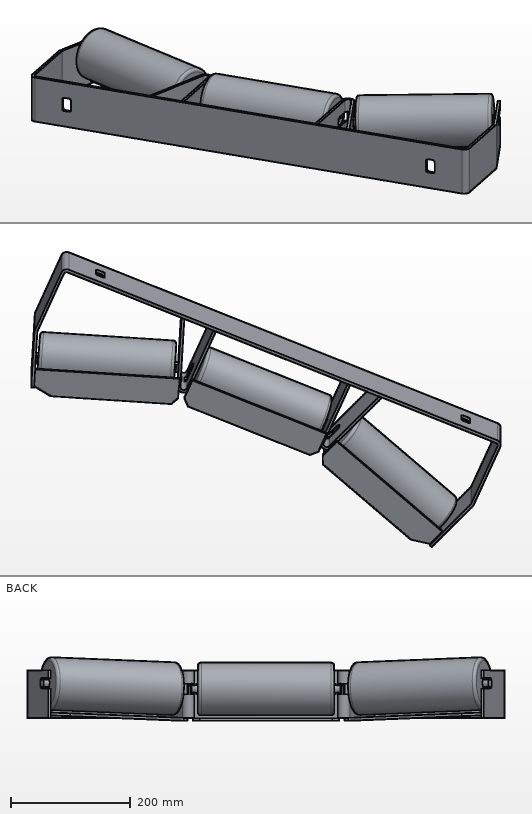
import cadquery as cq
import math


frame_length = 800.0
strip_height = 80.0
sheet = 5.0
back_thickness = 6.0
bend_radius = 10.0
fold_radius = 10.0
arm_tip_y = 220.0
bolt_slot_x = 333.0
bolt_slot_width = 16.0
bolt_slot_height = 24.0
bolt_slot_corner = 4.0

wing_angle = 20.0
wing_tilt = 2.2
side_x = 258.0
side_y = 148.0
side_z = 54.0
middle_y = 100.0
middle_z = 49.0
support_face = 120.0
support_back = support_face + sheet

roller_diameter = 89.0
roller_radius = roller_diameter / 2
roller_half = 114.0
rim_fillet = 6.0
shaft_radius = 9.0
shaft_flat_height = 12.0
flats_start = 117.0

plate_width = 46.0
plate_half = support_face + sheet / 2
plate_chamfer = 11.0
outer_cut_length = 29.0
outer_cut_width = 16.0

sin_wing = math.sin(math.radians(wing_angle))
cos_wing = math.cos(math.radians(wing_angle))
tan_wing = sin_wing / cos_wing

stations = (-1, 0, 1)


def place(body, side, pivot_z=0):
    """Move a body from station axes (X along the shaft) to its station, tilting it about a local height."""
    body = body.rotate((0, 0, pivot_z), (0, 1, pivot_z), -side * wing_tilt)
    body = body.rotate((0, 0, 0), (0, 0, 1), side * wing_angle)
    if side == 0:
        return body.translate((0, middle_y, middle_z))
    return body.translate((side * side_x, side_y, side_z))


def sloping_x(offset, y):
    """X, on the right side, of the sloping sheet face at an axial offset from the side station."""
    return side_x + offset / cos_wing - (y - side_y) * tan_wing


def round_bar(radius, half_length):
    """Plain bar along X, centred on the station."""
    return cq.Workplane("YZ").circle(radius).extrude(2 * half_length).translate((-half_length, 0, 0))


def make_roller():
    """Roller shell with its shaft; the shaft ends are flatted where they enter the supports."""
    shell = round_bar(roller_radius, roller_half).edges("%CIRCLE").fillet(rim_fillet)
    journal = round_bar(shaft_radius, flats_start)
    flats = cq.Workplane("XY").box(2 * support_back, 2 * shaft_radius, shaft_flat_height)
    flatted_shaft = round_bar(shaft_radius, support_back).intersect(flats)
    return shell.union(journal).union(flatted_shaft)


def make_plate(side):
    """Plate under a roller, with its +Y corners cut off; a side plate stops against the frame arm."""
    if side == 0:
        outer_end, cut_length, cut_width = plate_half, plate_chamfer, plate_chamfer
    else:
        outer_end, cut_length, cut_width = support_face, outer_cut_length, outer_cut_width
    outline = [(-plate_half, 0), (-plate_half, plate_width - plate_chamfer),
               (plate_chamfer - plate_half, plate_width), (outer_end - cut_length, plate_width),
               (outer_end, plate_width - cut_width), (outer_end, 0)]
    plate = cq.Workplane("XY").polyline(outline).close().extrude(-sheet)
    if side < 0:
        plate = plate.mirror("YZ")
    return plate.translate((0, 0, -middle_z))


def make_shaft_slots():
    """Cutters for both supports of a station: round at the shaft, open towards +Y."""
    opening = 2 * roller_radius
    cutter = (
        cq.Workplane("YZ")
        .moveTo(opening, -shaft_radius)
        .lineTo(0, -shaft_radius)
        .threePointArc((-shaft_radius, 0), (0, shaft_radius))
        .lineTo(opening, shaft_radius)
        .close()
        .extrude(2 * sheet)
    )
    start = support_face - sheet / 2
    right_cutter = cutter.translate((start, 0, 0))
    return right_cutter.union(right_cutter.mirror("YZ"))


def make_frame():
    """Back strip with an arm bent towards +Y at each end, before the shaft slots are cut."""
    half = frame_length / 2
    bend_y = side_y + (support_back / cos_wing + side_x - half) / tan_wing
    tip_x = sloping_x(support_back, arm_tip_y)
    inner_tip = (tip_x - sheet * cos_wing, arm_tip_y - sheet * sin_wing)
    inner_half = half - sheet
    inner_bend_y = bend_y - sheet * math.tan(math.radians(wing_angle / 2))
    right_side = [(half, 0), (half, bend_y), (tip_x, arm_tip_y), inner_tip,
                  (inner_half, inner_bend_y), (inner_half, back_thickness)]
    left_side = [(-x, y) for x, y in reversed(right_side)]
    frame = cq.Workplane("XY").polyline(right_side + left_side).close().extrude(strip_height)

    outer_corners = [(half, 0), (half, bend_y)]
    inner_corners = [(inner_half, back_thickness), (inner_half, inner_bend_y)]
    for corners, radius in ((outer_corners, bend_radius), (inner_corners, bend_radius - sheet)):
        for x, y in corners:
            for side in (-1, 1):
                corner = cq.selectors.NearestToPointSelector((side * x, y, strip_height / 2))
                frame = frame.edges("|Z").edges(corner).fillet(radius)

    bolt_slots = (
        cq.Workplane("XZ")
        .pushPoints([(-bolt_slot_x, strip_height / 2), (bolt_slot_x, strip_height / 2)])
        .rect(bolt_slot_width, bolt_slot_height)
        .extrude(-back_thickness)
        .edges("|Y")
        .fillet(bolt_slot_corner)
    )
    return frame.cut(bolt_slots)


def make_bracket(side):
    """Strip folded over between the middle roller and one side roller, standing on the back strip."""
    centre_x = support_face + fold_radius
    centre_y = side_y + (side_x - (support_face + fold_radius) / cos_wing - centre_x) / tan_wing

    def folded(radius):
        inset = fold_radius - radius
        foot_x = sloping_x(-support_face - inset, back_thickness)
        tangent = (centre_x + radius * cos_wing, centre_y + radius * sin_wing)
        return (
            cq.Workplane("XY")
            .moveTo(centre_x - radius, back_thickness)
            .lineTo(centre_x - radius, centre_y)
            .threePointArc((centre_x, centre_y + radius), tangent)
            .lineTo(foot_x, back_thickness)
            .close()
            .extrude(strip_height)
        )

    bracket = folded(fold_radius).cut(folded(fold_radius - sheet))
    return bracket if side > 0 else bracket.mirror("YZ")


rollers = [place(make_roller(), side) for side in stations]
plates = [place(make_plate(side), side, -middle_z) for side in stations]
shaft_slots = [place(make_shaft_slots(), side) for side in stations]

frame = make_frame()
brackets = [make_bracket(side) for side in (-1, 1)]
for cutter in shaft_slots:
    frame = frame.cut(cutter)
    brackets = [bracket.cut(cutter) for bracket in brackets]
for plate in plates:
    frame = frame.cut(plate)
    brackets = [bracket.cut(plate) for bracket in brackets]

bodies = [frame] + brackets + rollers + plates
result = cq.Compound.makeCompound([body.val() for body in bodies])